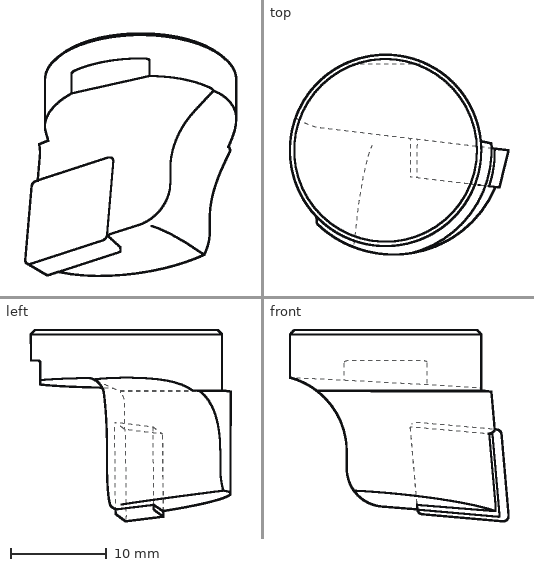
import cadquery as cq
import math

DISC_DIAMETER = 20.0
DISC_RADIUS = DISC_DIAMETER / 2
DISC_HEIGHT = 6.31
DISC_CHAMFER = 0.45

RIM_FLAT_Y = 9.0
RIM_FLAT_TOP_Z = -3.2
RIM_FLAT_FILLET = 0.23

SHANK_RADIUS = 11.55
OVERALL_WIDTH_Y = 20.9
SHANK_LOWEST_Y = DISC_RADIUS - OVERALL_WIDTH_Y
SHANK_CENTER = (0.85, SHANK_LOWEST_Y + SHANK_RADIUS)
COLLAR_RADIUS = 11.07
COLLAR_DROP = 0.14
FLARE_ANGLE = 5.0

WALL_X = -4.07
WALL_TOP_Z = -12.67
WALL_BOTTOM_Z = -14.45
SCOOP_RADIUS = 7.94
HEEL_RADIUS = 4.03

UNDERSIDE_ANGLE = 5.4
UNDERSIDE_Y_ANGLE = 6.8

RAKE_ANGLE = 6.8
RAKE_Y = 1.55
ROOF_ANGLE = 3.1
ROOF_Z = -5.53
GULLET_FILLET = 1.37

INSERT_SIDE = 9.67
INSERT_THICKNESS = 3.98
INSERT_RELIEF = 7.0
INSERT_TILT = 5.0
NOSE_RADIUS = 0.6
OVERALL_LENGTH_X = 22.87
NOSE_TIP_X = OVERALL_LENGTH_X - DISC_RADIUS
NOSE_TIP_Z = -20.0

REACH = 45.75


def tan_deg(angle):
    return math.tan(math.radians(angle))


def make_disc():
    disc = cq.Workplane("XY").circle(DISC_RADIUS).extrude(-DISC_HEIGHT)
    disc = disc.faces(">Z").chamfer(DISC_CHAMFER)
    rim_cutter = (
        cq.Workplane("XY")
        .box(REACH, REACH, REACH, centered=(True, False, False))
        .translate((0, RIM_FLAT_Y, RIM_FLAT_TOP_Z - REACH))
        .edges("<Y and >Z")
        .fillet(RIM_FLAT_FILLET)
    )
    return disc.cut(rim_cutter)


def make_flared_cone():
    """Cone widening downward, capped by a shallow conical shoulder."""
    collar_z = -DISC_HEIGHT - COLLAR_DROP
    base_radius = COLLAR_RADIUS + (REACH + collar_z) * tan_deg(FLARE_ANGLE)
    return (
        cq.Workplane("XZ")
        .moveTo(0, -DISC_HEIGHT)
        .lineTo(DISC_RADIUS, -DISC_HEIGHT)
        .lineTo(COLLAR_RADIUS, collar_z)
        .lineTo(base_radius, -REACH)
        .lineTo(0, -REACH)
        .close()
        .revolve(360, (0, 0, 0), (0, 1, 0))
    )


def make_shank():
    cylinder = cq.Workplane("XY").center(*SHANK_CENTER).circle(SHANK_RADIUS).extrude(-REACH)
    return cylinder.intersect(make_flared_cone())


def make_flank_envelope():
    """Region right of the scoop, wall and heel, swept along Y."""
    scoop_x = WALL_X - SCOOP_RADIUS
    scoop_mid = SCOOP_RADIUS * math.sqrt(0.5)
    heel_x = WALL_X + HEEL_RADIUS
    heel_end = math.radians(90 - UNDERSIDE_ANGLE)
    heel_mid = heel_end / 2
    end_x = heel_x - HEEL_RADIUS * math.cos(heel_end)
    end_z = WALL_BOTTOM_Z - HEEL_RADIUS * math.sin(heel_end)
    return (
        cq.Workplane("XZ", origin=(0, REACH / 2, 0))
        .moveTo(scoop_x, WALL_TOP_Z + SCOOP_RADIUS)
        .threePointArc((scoop_x + scoop_mid, WALL_TOP_Z + scoop_mid), (WALL_X, WALL_TOP_Z))
        .lineTo(WALL_X, WALL_BOTTOM_Z)
        .threePointArc(
            (heel_x - HEEL_RADIUS * math.cos(heel_mid), WALL_BOTTOM_Z - HEEL_RADIUS * math.sin(heel_mid)),
            (end_x, end_z),
        )
        .lineTo(REACH, end_z - (REACH - end_x) * tan_deg(UNDERSIDE_ANGLE))
        .lineTo(REACH, REACH)
        .lineTo(scoop_x, REACH)
        .close()
        .extrude(REACH)
    )


def rake_y(x):
    return RAKE_Y - x * tan_deg(RAKE_ANGLE)


def make_underside_cutter():
    """Half space below the relieved underside, which starts at the heel's end on the rake wall."""
    heel_end = math.radians(90 - UNDERSIDE_ANGLE)
    x = WALL_X + HEEL_RADIUS * (1 - math.cos(heel_end))
    z = WALL_BOTTOM_Z - HEEL_RADIUS * math.sin(heel_end)
    down = (-tan_deg(UNDERSIDE_ANGLE), -tan_deg(UNDERSIDE_Y_ANGLE), -1)
    plane = cq.Plane(origin=(x, rake_y(x), z), xDir=(1, 0, -tan_deg(UNDERSIDE_ANGLE)), normal=down)
    return cq.Workplane(plane).rect(2 * REACH, 2 * REACH).extrude(REACH)


def make_gullet_cutter():
    """Block with one rounded top edge, turned to the rake wall and the roof slope."""
    return (
        cq.Workplane("XY")
        .box(REACH, REACH, REACH, centered=(True, False, False))
        .translate((0, 0, -REACH))
        .edges("<Y and >Z")
        .fillet(GULLET_FILLET)
        .rotate((0, 0, 0), (0, 1, 0), ROOF_ANGLE)
        .rotate((0, 0, 0), (0, 0, 1), -RAKE_ANGLE)
        .translate((0, RAKE_Y, ROOF_Z))
    )


def make_insert():
    """Rhombus with its sharp nose at the lower +X corner, tapered away from the rake face."""
    rake = math.radians(RAKE_ANGLE)
    tilt = math.radians(INSERT_TILT)
    nose_x = NOSE_TIP_X - NOSE_RADIUS * math.cos(rake)
    nose_z = NOSE_TIP_Z + NOSE_RADIUS
    plane = cq.Plane(
        origin=(nose_x, rake_y(nose_x), nose_z),
        xDir=(math.cos(rake), -math.sin(rake), 0),
        normal=(-math.sin(rake), -math.cos(rake), 0),
    )
    half_nose_angle = math.radians(45) - tilt
    corner = NOSE_RADIUS / math.sin(half_nose_angle) * math.sqrt(0.5)
    long_step = INSERT_SIDE * math.cos(tilt)
    short_step = INSERT_SIDE * math.sin(tilt)
    outline = (
        cq.Sketch()
        .polygon([
            (corner, -corner),
            (corner - short_step, -corner + long_step),
            (corner - short_step - long_step, -corner + long_step + short_step),
            (corner - long_step, -corner + short_step),
            (corner, -corner),
        ])
        .vertices()
        .fillet(NOSE_RADIUS)
    )
    return cq.Workplane(plane).placeSketch(outline).extrude(INSERT_THICKNESS, taper=INSERT_RELIEF)


def make_holder(insert):
    holder = make_disc().union(make_shank())
    holder = holder.intersect(make_flank_envelope())
    holder = holder.cut(make_underside_cutter())
    holder = holder.cut(make_gullet_cutter())
    return holder.cut(insert)


insert = make_insert()
holder = make_holder(insert)

result = cq.Compound.makeCompound([holder.solids().val(), insert.val()])